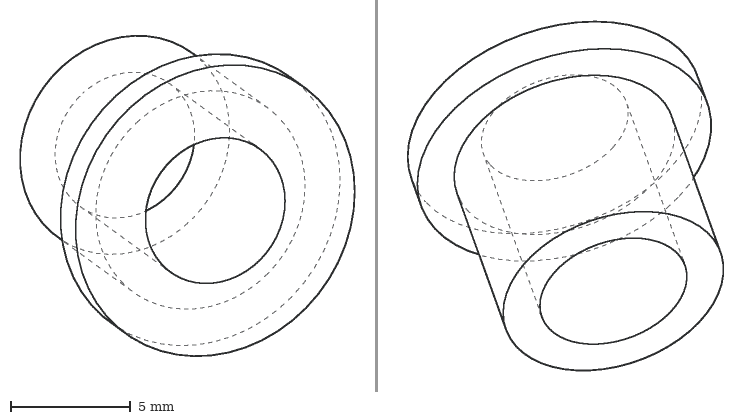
import cadquery as cq

flange_diameter = 12.7
sleeve_diameter = 9.52
bore_diameter = 6.35
total_length = 9.52
flange_thickness = 1.59
sleeve_length = total_length - flange_thickness

sleeve = cq.Workplane("YZ").circle(sleeve_diameter / 2).extrude(sleeve_length)

flange = (
    cq.Workplane("YZ")
    .workplane(offset=sleeve_length)
    .circle(flange_diameter / 2)
    .extrude(flange_thickness)
)

bore = cq.Workplane("YZ").circle(bore_diameter / 2).extrude(total_length)

result = sleeve.union(flange).cut(bore)